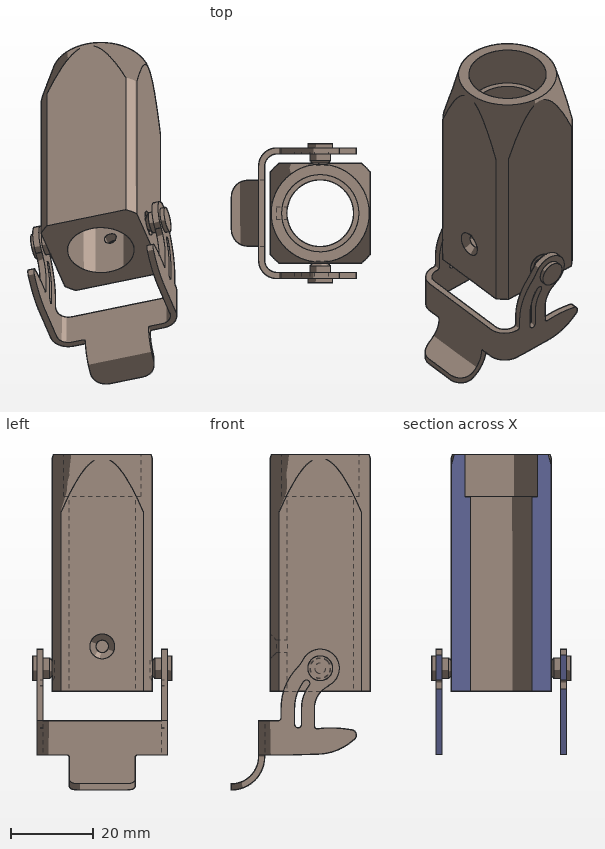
import cadquery as cq
import math


housing_width = 24.1
housing_height = 57.2
corner_radius = 15.6
top_radius = 11.8
shoulder_height = 13.9
mouth_diameter = 18.6
mouth_depth = 10.2
bore_diameter = 16.0
wall_y = housing_width / 2

screw_hole_z = 10.85
screw_hole_diameter = 3.0
screw_head_diameter = 6.0

seat_mouth_diameter = 5.9
seat_floor_diameter = 4.8
seat_depth = (seat_mouth_diameter - seat_floor_diameter) / 2

sheet = 1.5
lever_half_width = 15.8
band_x = -14.9
band_top_z = -7.05
band_bottom_z = -15.4
bend_radius = 4.45

pivot_z = 5.6
eye_radius = 4.6
neck_center = (4.5, -4.05)
neck_inner_radius = 5.9
neck_outer_radius = 14.0
neck_foot_z = -9.7
neck_fillet = 0.65
eye_blend_radius = 11.3
slot_radius = 9.9
slot_width = 1.6
slot_sweep = 37.3
slot_foot_z = -7.9

hook_root_x = -8.1
hook_belly_start = (0.25, -15.15)
hook_belly_middle = (4.4, -14.1)
hook_belly_end = (8.0, -11.75)
hook_top_start = (0.9, -8.8)
hook_top_middle = (4.4, -8.8)
hook_top_end = (7.5, -9.2)
hook_root_z = -9.1
hook_tip = (8.75, -10.5)

arm_margin = 0.8

tongue_width = 15.95
tongue_end_x = -21.5
tongue_center_z = -15.7
tongue_corner_radius = 4.05
tongue_root_fillet = 0.5

pin_diameter = 5.0
pin_tip_diameter = 2.6
pin_head_diameter = 6.0
pin_span = 33.6


def turned(points):
    """Solid of revolution about Z from (radius, z) points."""
    return cq.Workplane("XZ").polyline(points).close().revolve(360, (0, 0, 0), (0, 1, 0))


def place_on_pivot(shape, side):
    """Turn a shape from +Z to the outward Y direction and set it on the housing wall."""
    turned_shape = shape.rotate((0, 0, 0), (1, 0, 0), -90 * side)
    return turned_shape.translate((0, side * wall_y, pivot_z))


def make_housing():
    """Square tube with a conical shoulder, stepped bore, screw hole and pivot seats."""
    shoulder_z = housing_height - shoulder_height
    envelope = turned([
        (0, 0),
        (corner_radius, 0),
        (corner_radius, shoulder_z),
        (top_radius, housing_height),
        (0, housing_height),
    ])
    body = cq.Workplane("XY").rect(housing_width, housing_width).extrude(housing_height)
    body = body.intersect(envelope)
    body = body.faces(">Z").workplane().hole(bore_diameter)
    body = body.faces(">Z").workplane().hole(mouth_diameter, mouth_depth)

    countersink_depth = (screw_head_diameter - screw_hole_diameter) / 2
    screw_hole = turned([
        (0, 0),
        (screw_head_diameter / 2, 0),
        (screw_hole_diameter / 2, countersink_depth),
        (screw_hole_diameter / 2, wall_y),
        (0, wall_y),
    ])
    screw_hole = screw_hole.rotate((0, 0, 0), (0, 1, 0), 90)
    body = body.cut(screw_hole.translate((-housing_width / 2, 0, screw_hole_z)))

    seat = turned([
        (0, 0),
        (seat_mouth_diameter / 2, 0),
        (seat_floor_diameter / 2, -seat_depth),
        (0, -seat_depth),
    ])
    for side in (-1, 1):
        body = body.cut(place_on_pivot(seat, side))
    return body


def round_edge_near(body, point, radius):
    """Fillet the edge whose middle lies nearest to a point."""
    return body.edges(cq.selectors.NearestToPointSelector(point)).fillet(radius)


def along_y(outline, half_width):
    """Extrude a closed XZ outline symmetrically about the XZ plane."""
    return outline.extrude(half_width, both=True)


def box_between(x_range, y_half, z_range):
    """Box from X and Z limits, symmetrical in Y."""
    (x0, x1), (z0, z1) = x_range, z_range
    box = cq.Workplane("XY").box(x1 - x0, 2 * y_half, z1 - z0)
    return box.translate(((x0 + x1) / 2, 0, (z0 + z1) / 2))


def neck_point(radius, sweep):
    """Point on an arc about the neck centre, swept up from its -X side."""
    angle = math.radians(180 - sweep)
    return (neck_center[0] + radius * math.cos(angle), neck_center[1] + radius * math.sin(angle))


def curved_strip(inner_radius, outer_radius, sweep, foot_z):
    """Strip that rises straight from foot_z, then bends about the neck centre."""
    outline = (
        cq.Workplane("XZ")
        .moveTo(neck_center[0] - inner_radius, foot_z)
        .lineTo(*neck_point(inner_radius, 0))
        .threePointArc(neck_point(inner_radius, sweep / 2), neck_point(inner_radius, sweep))
        .lineTo(*neck_point(outer_radius, sweep))
        .threePointArc(neck_point(outer_radius, sweep / 2), neck_point(outer_radius, 0))
        .lineTo(neck_center[0] - outer_radius, foot_z)
        .close()
    )
    return along_y(outline, lever_half_width)


def disc(center, radius):
    """Cylinder along Y across the whole lever."""
    return along_y(cq.Workplane("XZ").center(*center).circle(radius), lever_half_width)


def make_hook():
    """Hook below the neck, from the band to its rounded tip."""
    outline = (
        cq.Workplane("XZ")
        .moveTo(band_x, band_bottom_z)
        .lineTo(hook_root_x, band_bottom_z)
        .lineTo(*hook_belly_start)
        .threePointArc(hook_belly_middle, hook_belly_end)
        .threePointArc(hook_tip, hook_top_end)
        .threePointArc(hook_top_middle, hook_top_start)
        .lineTo(neck_center[0] - neck_inner_radius, hook_root_z)
        .lineTo(neck_center[0] - neck_outer_radius, band_top_z)
        .lineTo(band_x, band_top_z)
        .close()
    )
    return along_y(outline, lever_half_width)


def make_side_profile():
    """Side shape of the band and both arms: hook, neck, slot and pivot eye."""
    eye_rise = pivot_z - neck_center[1]
    eye_sweep = math.degrees(math.atan2(eye_rise, neck_center[0]))
    neck = curved_strip(neck_inner_radius, neck_outer_radius, eye_sweep, neck_foot_z)
    body = make_hook().union(neck)
    for radius, z in ((neck_outer_radius, band_top_z), (neck_inner_radius, hook_root_z)):
        body = round_edge_near(body, (neck_center[0] - radius, 0, z), neck_fillet)
    body = body.union(disc((0, pivot_z), eye_radius))

    eye_distance = math.hypot(neck_center[0], eye_rise)
    cosine = (neck_outer_radius**2 + eye_distance**2 - eye_radius**2) / (2 * neck_outer_radius * eye_distance)
    crossing_x, crossing_z = neck_point(neck_outer_radius, eye_sweep - math.degrees(math.acos(cosine)))
    body = round_edge_near(body, (crossing_x, 0, crossing_z), eye_blend_radius)

    half_slot = slot_width / 2
    slot = curved_strip(slot_radius - half_slot, slot_radius + half_slot, slot_sweep, slot_foot_z)
    body = body.cut(slot)
    body = body.cut(disc(neck_point(slot_radius, slot_sweep), half_slot))
    return body.cut(disc((neck_center[0] - slot_radius, slot_foot_z), half_slot))


def make_bent_sheet():
    """U-shaped sheet seen along Z: the band, its two bends and the arms."""
    arm_end_x = hook_tip[0] + arm_margin
    heights = (band_bottom_z, pivot_z + eye_radius)
    outer = box_between((band_x, arm_end_x), lever_half_width, heights)
    inner = box_between((band_x + sheet, arm_end_x), lever_half_width - sheet, heights)
    outer = outer.edges("|Z and <X").fillet(bend_radius)
    inner = inner.edges("|Z and <X").fillet(bend_radius - sheet)
    return outer.cut(inner)


def make_tongue():
    """Quarter-round finger tongue below the band, with rounded corners."""
    outer_radius = band_x + sheet - tongue_end_x
    inner_radius = outer_radius - sheet
    diagonal = math.sqrt(0.5)
    outline = (
        cq.Workplane("XZ", origin=(tongue_end_x, 0, tongue_center_z))
        .moveTo(0, -outer_radius)
        .threePointArc((outer_radius * diagonal, -outer_radius * diagonal), (outer_radius, 0))
        .lineTo(outer_radius, band_bottom_z - tongue_center_z)
        .lineTo(inner_radius, band_bottom_z - tongue_center_z)
        .lineTo(inner_radius, 0)
        .threePointArc((inner_radius * diagonal, -inner_radius * diagonal), (0, -inner_radius))
        .close()
    )
    tongue = along_y(outline, tongue_width / 2)
    plan = box_between(
        (tongue_end_x, band_x + sheet), tongue_width / 2,
        (tongue_center_z - outer_radius, band_bottom_z))
    return tongue.intersect(plan.edges("|Z and <X").fillet(tongue_corner_radius))


def make_pin():
    """Riveted pivot pin along +Z, with z = 0 on the housing wall and its cone below."""
    pin_radius = pin_diameter / 2
    tip_radius = pin_tip_diameter / 2
    head_radius = pin_head_diameter / 2
    cone_top = pin_radius - tip_radius - seat_depth
    arm_outside = lever_half_width - wall_y
    head_top = pin_span / 2 - wall_y
    return turned([
        (0, -seat_depth),
        (tip_radius, -seat_depth),
        (pin_radius, cone_top),
        (pin_radius, arm_outside),
        (head_radius, arm_outside),
        (head_radius, head_top),
        (0, head_top),
    ])


def make_lever():
    """Bent lever with its tongue and two pivot pins, whose tips rest in the housing seats."""
    body = make_side_profile().intersect(make_bent_sheet())
    body = body.union(make_tongue())
    for side in (-1, 1):
        root = (band_x + sheet / 2, side * tongue_width / 2, band_bottom_z)
        body = round_edge_near(body, root, tongue_root_fillet)
    pin = make_pin()
    for side in (-1, 1):
        body = body.union(place_on_pivot(pin, side))
    return body


housing = make_housing()
lever = make_lever()
result = cq.Compound.makeCompound([housing.val(), lever.val()])